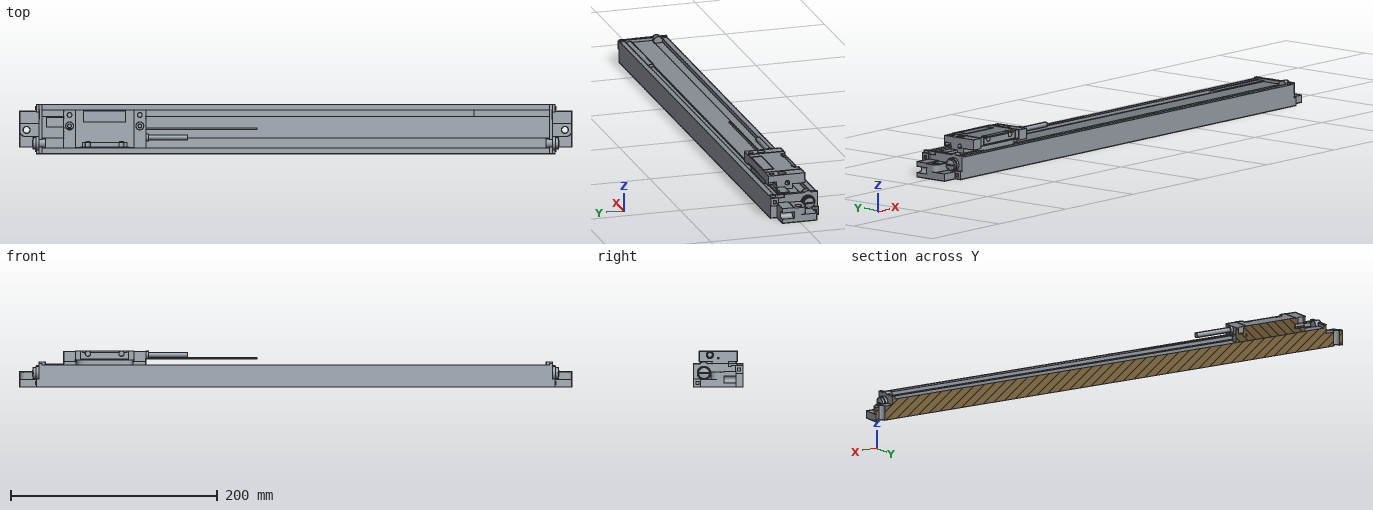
import cadquery as cq

overall_length = 534.0
overall_width = 47.9
overall_height = 35.0
half_length = overall_length / 2
half_width = overall_width / 2

rail_length = 497.0
rail_end = rail_length / 2
lip_top = 21.6
lip_width = 5.4
lip_inner = half_width - lip_width
track_top = 20.0
track_front = -8.9
track_back = 12.2
gutter_floor = 18.0
back_gutter_floor = 18.6
back_gutter_end = 172.5
back_filler_top = 21.0

cap_thickness = 3.3
cap_top = 22.8
cap_inner = rail_end - cap_thickness
foot_reach = 3.2
foot_depth = 7.5
foot_step = 2.4
foot_tier_reach = 2.3
front_foot_top = 8.0
back_foot_bottom = 13.0
back_foot_top = 20.8
cap_notch_bottom = 19.8
cap_notch_front = 9.8
cap_notch_depth = 0.6
bracket_half_width = 17.4
bracket_top = 15.0
bracket_base_top = 7.2
boss_front = -7.2
boss_round = 5.5
panel_half_width = 6.2
panel_drop = 0.6
bolt_hole_x = half_length - 6.8
bolt_hole_y = -0.8
bolt_hole_diameter = 6.4
side_slot_height = 6.4
side_slot_middle = 7.4
side_slot_depth = 7.0
plug_y = -13.8
plug_z = 13.6
collar_diameter = 13.0
collar_reach = 2.8
plug_diameter = 10.8
plug_reach = 6.0
plug_cone_height = 0.6
plug_cone_width = 3.5
plug_slit_width = 0.8
plug_slit_depth = 0.8
seal_diameter = 9.2
seal_top = 24.4
seal_inner = rail_end - 6.4

plate_length = 16.5
plate_front = 2.0
plate_width = 9.0
plate_top = 22.4

carriage_left = -224.5
carriage_right = -145.0
carriage_middle = (carriage_left + carriage_right) / 2
carriage_half_width = 18.4
end_block_length = 11.5
end_block_bottom = 24.6
end_block_drop = 0.4
carriage_foot_length = 55.0
carriage_foot_top = 26.4
carriage_foot_half_width = 17.6
carriage_foot_round = 9.0
carriage_foot_bottom = lip_top
runner_front = -6.0
runner_width = 16.0
label_length = 40.5
label_width = 10.5
label_back = 17.5
label_depth = 0.5
ledge_length = 43.0
ledge_depth = 5.2
ledge_drop = 1.6
centre_front_inset = 0.5
window_length = 46.5
window_bottom = 27.4
window_depth = 1.0
access_groove_spacing = 32.5
access_groove_radius = 2.6
access_groove_length = 6.4
access_groove_middle = overall_height - access_groove_radius
large_hole_y = 3.0
large_hole_diameter = 7.6
large_hole_depth = 6.4
bolt_diameter = 3.6
bolt_height = 5.0
small_hole_y = 13.6
small_hole_diameter = 4.6
small_hole_depth = 4.0
arch_y = -0.8
arch_radius = 2.2
arch_top = 28.4
corner_notch_back = 17.0
corner_notch_width = 6.5
corner_notch_top = 28.0

cable_y = -8.1
cable_z = 31.2
cable_diameter = 4.8
cable_length = 40.5
gland_diameter = 7.0
gland_length = 2.8
wire_y = 0.1
wire_z = 28.1
wire_diameter = 1.4
wire_length = 107.5


def box_between(x0, x1, y0, y1, z0, z1):
    return cq.Workplane("XY").box(x1 - x0, y1 - y0, z1 - z0, centered=False).translate((x0, y0, z0))


def rod_along_x(x0, length, y, z, diameter):
    return cq.Workplane("YZ", origin=(x0, y, z)).circle(diameter / 2).extrude(length)


def make_rail_bar():
    bar = box_between(-rail_end, rail_end, -half_width, half_width, 0, lip_top)
    bar = bar.cut(box_between(-rail_end, rail_end, -lip_inner, lip_inner, track_top, lip_top))
    bar = bar.cut(box_between(-rail_end, rail_end, -lip_inner, track_front, gutter_floor, track_top))
    bar = bar.cut(
        box_between(-rail_end, back_gutter_end, track_back, lip_inner, back_gutter_floor, track_top)
    )
    return bar.union(
        box_between(back_gutter_end, rail_end, track_back, lip_inner, track_top, back_filler_top)
    )


def make_bracket():
    """Right-hand mounting bracket: a base plate with a raised boss around the bolt hole."""
    base = box_between(
        rail_end, half_length, -bracket_half_width, bracket_half_width, 0, bracket_base_top
    )
    boss = box_between(
        rail_end, half_length, boss_front, bracket_half_width, bracket_base_top, bracket_top
    )
    boss = boss.edges("|Z and >X and <Y").fillet(boss_round)
    bracket = base.union(boss)
    panel = box_between(
        rail_end,
        half_length,
        bolt_hole_y - panel_half_width,
        bolt_hole_y + panel_half_width,
        bracket_top - panel_drop,
        bracket_top,
    )
    bolt_hole = (
        cq.Workplane("XY")
        .center(bolt_hole_x, bolt_hole_y)
        .circle(bolt_hole_diameter / 2)
        .extrude(bracket_top)
    )
    slot_front = bolt_hole_y + panel_half_width
    slot_radius = side_slot_height / 2
    slot_round_x = half_length - side_slot_depth + slot_radius
    side_slot = box_between(
        slot_round_x,
        half_length,
        slot_front,
        bracket_half_width,
        side_slot_middle - slot_radius,
        side_slot_middle + slot_radius,
    )
    slot_round = (
        cq.Workplane("XZ", origin=(slot_round_x, slot_front, side_slot_middle))
        .circle(slot_radius)
        .extrude(slot_front - bracket_half_width)
    )
    side_slot = side_slot.union(slot_round)
    return bracket.cut(panel).cut(bolt_hole).cut(side_slot)


def make_foot(front, bottom, top):
    """Two-tier foot on the right-hand cap face."""
    back = front + foot_depth
    outer_tier = box_between(rail_end, rail_end + foot_tier_reach, front, back, bottom, top)
    inner_tier = box_between(
        rail_end,
        rail_end + foot_reach,
        front + foot_step,
        back - foot_step,
        bottom + foot_step,
        top - foot_step,
    )
    return outer_tier.union(inner_tier)


def make_plug():
    """Right-hand plug: a collar and a slit, cone-ended button outside the cap."""
    collar = rod_along_x(rail_end, collar_reach, plug_y, plug_z, collar_diameter)
    button = rod_along_x(rail_end, plug_reach, plug_y, plug_z, plug_diameter)
    button = button.faces(">X").chamfer(plug_cone_height, plug_cone_width)
    plug_end = rail_end + plug_reach
    slit = box_between(
        plug_end - plug_slit_depth,
        plug_end,
        plug_y - plug_diameter / 2,
        plug_y + plug_diameter / 2,
        plug_z - plug_slit_width / 2,
        plug_z + plug_slit_width / 2,
    )
    return collar.union(button.cut(slit))


def make_rail_end():
    """Everything at the right-hand end of the rail bar."""
    cap = box_between(cap_inner, rail_end, -half_width, half_width, 0, cap_top)
    cap_notch = box_between(
        rail_end - cap_notch_depth, rail_end, cap_notch_front, lip_inner, cap_notch_bottom, cap_top
    )
    end = cap.cut(cap_notch).union(make_bracket())
    end = end.union(make_foot(-half_width, 0, front_foot_top))
    end = end.union(make_foot(half_width - foot_depth, back_foot_bottom, back_foot_top))
    seal_z = seal_top - seal_diameter / 2
    seal = rod_along_x(seal_inner, rail_end - seal_inner, plug_y, seal_z, seal_diameter)
    return end.union(make_plug()).union(seal)


def make_rail():
    rail_end_parts = make_rail_end()
    rail = make_rail_bar().union(rail_end_parts).union(rail_end_parts.mirror("YZ"))
    plate = box_between(
        carriage_left - plate_length,
        carriage_left,
        plate_front,
        plate_front + plate_width,
        track_top,
        plate_top,
    )
    return rail.union(plate)


def make_end_block(left):
    """One carriage end block, with its two blind holes and a bolt in the larger one."""
    right = left + end_block_length
    middle = (left + right) / 2
    top = overall_height - end_block_drop
    block = box_between(
        left, right, -carriage_half_width, carriage_half_width, end_block_bottom, top
    )
    for y, diameter, depth in (
        (large_hole_y, large_hole_diameter, large_hole_depth),
        (small_hole_y, small_hole_diameter, small_hole_depth),
    ):
        hole = cq.Workplane("XY", origin=(middle, y, top)).circle(diameter / 2).extrude(-depth)
        block = block.cut(hole)
    bolt = (
        cq.Workplane("XY", origin=(middle, large_hole_y, top - large_hole_depth))
        .circle(bolt_diameter / 2)
        .extrude(bolt_height)
    )
    return block.union(bolt)


def make_underside_notches():
    """Arch and square notch running through the underside of the left end block."""
    arch = rod_along_x(
        carriage_left, end_block_length, arch_y, arch_top - arch_radius, 2 * arch_radius
    )
    arch = arch.union(
        box_between(
            carriage_left,
            carriage_left + end_block_length,
            arch_y - arch_radius,
            arch_y + arch_radius,
            end_block_bottom,
            arch_top - arch_radius,
        )
    )
    corner_notch = box_between(
        carriage_left,
        carriage_left + end_block_length,
        corner_notch_back - corner_notch_width,
        corner_notch_back,
        end_block_bottom,
        corner_notch_top,
    )
    return arch.union(corner_notch)


def make_centre_block():
    """Carriage middle, with a label recess, and a front window and ledge crossed by two screw grooves."""
    block = box_between(
        carriage_left + end_block_length,
        carriage_right - end_block_length,
        centre_front_inset - carriage_half_width,
        carriage_half_width,
        carriage_foot_top,
        overall_height,
    )
    label = box_between(
        carriage_middle - label_length / 2,
        carriage_middle + label_length / 2,
        label_back - label_width,
        label_back,
        overall_height - label_depth,
        overall_height,
    )
    ledge = box_between(
        carriage_middle - ledge_length / 2,
        carriage_middle + ledge_length / 2,
        -carriage_half_width,
        ledge_depth - carriage_half_width,
        overall_height - ledge_drop,
        overall_height,
    )
    window = box_between(
        carriage_middle - window_length / 2,
        carriage_middle + window_length / 2,
        -carriage_half_width,
        window_depth - carriage_half_width,
        window_bottom,
        overall_height,
    )
    block = block.cut(label).cut(ledge).cut(window)
    for side in (-1, 1):
        groove_x = carriage_middle + side * access_groove_spacing / 2
        groove = (
            cq.Workplane("XZ", origin=(groove_x, -carriage_half_width, access_groove_middle))
            .circle(access_groove_radius)
            .extrude(-access_groove_length)
        )
        block = block.cut(groove)
    return block


def make_carriage_foot():
    """Round-cornered foot between the lips, with a runner that slides on the track."""
    foot = box_between(
        carriage_middle - carriage_foot_length / 2,
        carriage_middle + carriage_foot_length / 2,
        -carriage_foot_half_width,
        carriage_foot_half_width,
        carriage_foot_bottom,
        carriage_foot_top,
    )
    foot = foot.edges("|Z").fillet(carriage_foot_round)
    runner = box_between(
        carriage_left,
        carriage_right,
        runner_front,
        runner_front + runner_width,
        track_top,
        end_block_bottom,
    )
    return foot.union(runner)


def make_carriage():
    carriage = make_centre_block().union(make_carriage_foot())
    for left in (carriage_left, carriage_right - end_block_length):
        carriage = carriage.union(make_end_block(left))
    carriage = carriage.cut(make_underside_notches())
    carriage = carriage.union(
        rod_along_x(carriage_right, gland_length, cable_y, cable_z, gland_diameter)
    )
    carriage = carriage.union(
        rod_along_x(carriage_right, cable_length, cable_y, cable_z, cable_diameter)
    )
    return carriage.union(rod_along_x(carriage_right, wire_length, wire_y, wire_z, wire_diameter))


rail = make_rail()
carriage = make_carriage()
result = cq.Compound.makeCompound([rail.val(), carriage.val()])